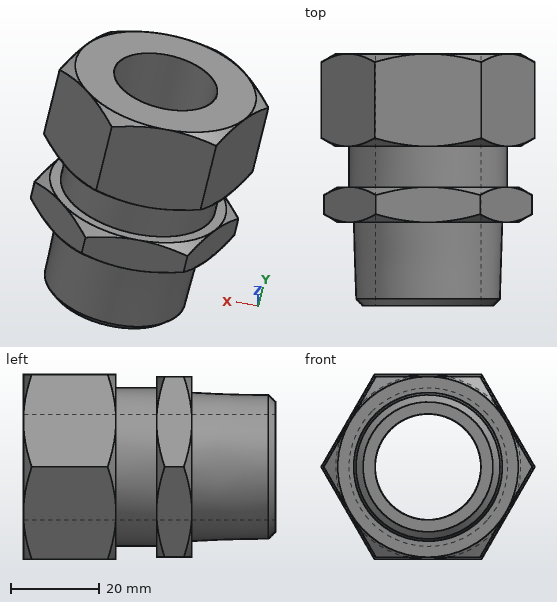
import cadquery as cq
import math


total_length = 57.24
thread_length = 19.0
body_hex_length = 8.0
nut_length = 21.0

body_hex_flats = 41.0
nut_flats = 42.0
hex_sides = 6
hex_chamfer_angle = 30.0
hex_corner_clearance = 0.1

bore_diameter = 24.0
collar_diameter = 36.0

gauge_diameter = 33.249
gauge_length = 10.39
taper = 1 / 16
end_chamfer = 1.6

body_hex_start = thread_length
collar_start = body_hex_start + body_hex_length
nut_start = total_length - nut_length


def revolve_about_y(profile):
    """Revolve a closed (radius, y) profile about the Y axis."""
    return cq.Workplane("XY").polyline(profile).close().revolve(360, (0, 0), (0, 1))


def cylinder(diameter, start, end):
    """Round bar on the Y axis between two stations."""
    return (
        cq.Workplane("XZ", origin=(0, start, 0))
        .circle(diameter / 2)
        .extrude(start - end)
    )


def chamfered_hex(flats, start, length):
    """Hexagon with flats facing +Z and -Z, its corners cut by a cone at both ends."""
    corners = flats / math.cos(math.pi / hex_sides)
    end = start + length
    hexagon = (
        cq.Workplane("XZ", origin=(0, start, 0))
        .polygon(hex_sides, corners)
        .extrude(-length)
    )
    face_radius = flats / 2
    corner_radius = corners / 2
    outer_radius = corner_radius + hex_corner_clearance
    outer_drop = (outer_radius - face_radius) * math.tan(math.radians(hex_chamfer_angle))
    envelope = revolve_about_y([
        (0, start),
        (face_radius, start),
        (outer_radius, start + outer_drop),
        (outer_radius, end - outer_drop),
        (face_radius, end),
        (0, end),
    ])
    return hexagon.intersect(envelope)


def thread_radius(y):
    """Radius of the tapered thread envelope at station y."""
    return (gauge_diameter + (y - gauge_length) * taper) / 2


def tapered_thread():
    """Plain tapered envelope of the thread with a 45 degree end chamfer."""
    chamfer_radius = thread_radius(end_chamfer)
    return revolve_about_y([
        (0, 0),
        (chamfer_radius - end_chamfer, 0),
        (chamfer_radius, end_chamfer),
        (thread_radius(thread_length), thread_length),
        (0, thread_length),
    ])


result = (
    tapered_thread()
    .union(chamfered_hex(body_hex_flats, body_hex_start, body_hex_length))
    .union(cylinder(collar_diameter, collar_start, nut_start))
    .union(chamfered_hex(nut_flats, nut_start, nut_length))
    .cut(cylinder(bore_diameter, 0, total_length))
)